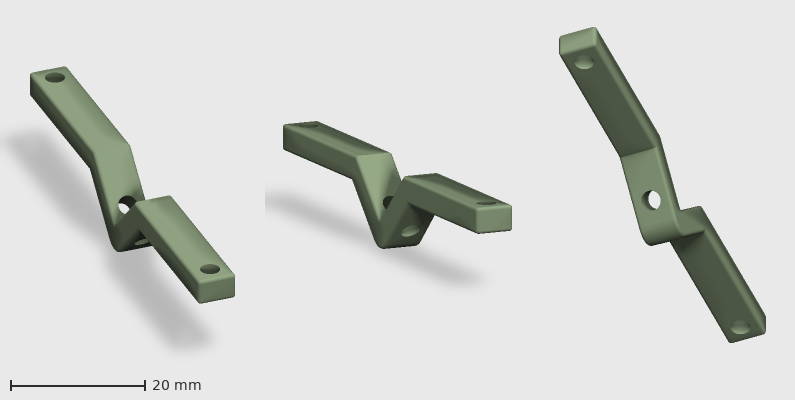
import cadquery as cq
import math

length = 68.0
width = 6.0
thickness = 4.0
height = 12.59

bend_angle = 45.0
tip_radius = 3.0
notch_radius = 0.5
edge_radius = 0.5

hole_diameter = 3.0
end_hole_inset = 3.0
leg_hole_from_notch = 2.5

half_length = length / 2
bend = math.radians(bend_angle)
slope = math.tan(bend)
leg_vertical_thickness = thickness / math.cos(bend)

tip_cut = tip_radius * (1 / math.cos(bend) - 1)
sharp_tip_depth = height + tip_cut
sharp_notch_depth = sharp_tip_depth - leg_vertical_thickness
notch_half_width = sharp_notch_depth / slope
outer_half_width = (sharp_tip_depth - thickness) / slope


def bent_bar():
    """Bar of constant thickness with a rounded V bend; its top face lies at Z = 0."""
    right_half = [
        (notch_half_width, 0),
        (half_length, 0),
        (half_length, -thickness),
        (outer_half_width, -thickness),
    ]
    left_half = [(-x, z) for x, z in reversed(right_half)]
    notch_apex = (0, -sharp_notch_depth)
    outer_tip = (0, -sharp_tip_depth)
    outline = [notch_apex] + right_half + [outer_tip] + left_half
    bar = cq.Workplane("XZ").polyline(outline).close().extrude(width / 2, both=True)
    bar = bar.edges(cq.NearestToPointSelector((0, 0, -sharp_tip_depth))).fillet(tip_radius)
    return bar.edges(cq.NearestToPointSelector((0, 0, -sharp_notch_depth))).fillet(notch_radius)


def round_edges(bar):
    """Round the rims of both side faces and of both end faces."""
    return bar.faces("<Y or >Y or <X or >X").edges().fillet(edge_radius)


def hole_cutter(x, z, tilt):
    """Cylinder through (x, 0, z), tilted about Y by the given angle from vertical."""
    reach = 2 * thickness
    cutter = cq.Workplane("XY").circle(hole_diameter / 2).extrude(reach, both=True)
    return cutter.rotate((0, 0, 0), (0, 1, 0), tilt).translate((x, 0, z))


def drill_holes(bar):
    """One vertical hole near each end and one square to each leg beside the notch."""
    end_x = half_length - end_hole_inset
    leg_x = leg_hole_from_notch * math.cos(bend)
    leg_z = leg_x * slope - sharp_notch_depth
    for side in (-1, 1):
        bar = bar.cut(hole_cutter(side * end_x, 0, 0))
        bar = bar.cut(hole_cutter(side * leg_x, leg_z, -side * bend_angle))
    return bar


result = drill_holes(round_edges(bent_bar()))